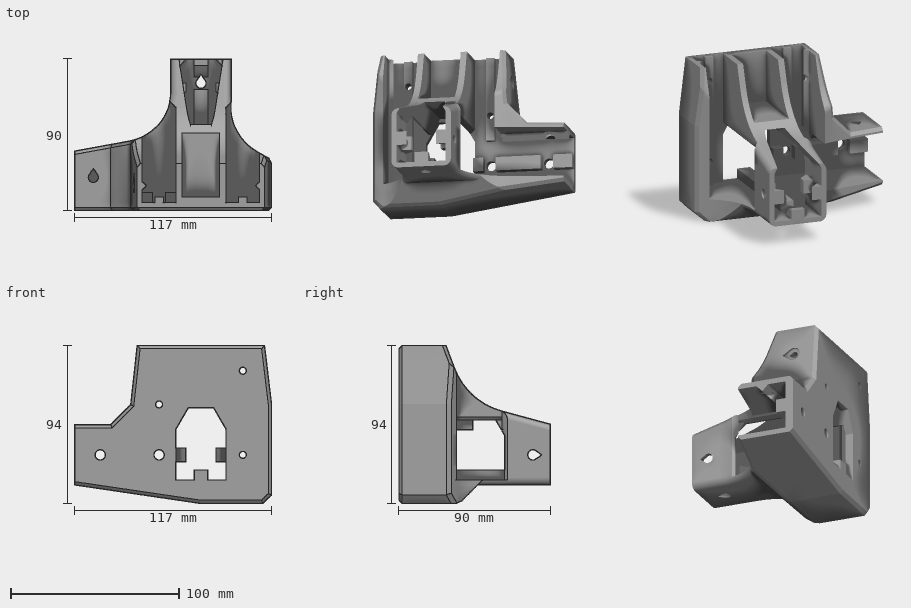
import cadquery as cq
import math

length = 117.0
depth = 90.0
height = 94.0
edge_chamfer = 2.0

front_wall = 4.8
bore = 29.7
floor_z = 14.0
bore_axis_z = floor_z + bore / 2
ceiling_z = floor_z + bore
side_arm_top = 46.9

arm_x = 75.0
arm_width = 36.0
arm_left = arm_x - arm_width / 2
arm_right = arm_x + arm_width / 2
arm_bottom = 11.1
arm_end_z = 47.2
arm_edge_radius = 4.1
bore_left = arm_x - bore / 2
bore_right = arm_x + bore / 2
gable_angle = 60.0
gable_eave_z = 44.1
window_gable_rise = 12.8
inner_gable_rise = 14.9

side_corner = (40.6, 60.5)
side_blend_radius = 41.0
left_plan_corner = (arm_left, 45.9)
right_plan_corner = (arm_right, 43.8)
plan_blend_radius = 29.8

channel_width = 20.0
channel_left_wall = bore_left - channel_width
channel_right_wall = bore_right + channel_width
channel_back = 61.2
channel_corner_y = 64.5

passage_back = 62.7
passage_roof = 49.5
passage_slope_base = 40.5
passage_edge_chamfer = 2.0

pocket_rib = 3.7
pocket_front = 8.2
pocket_floor = 62.5

key_depth = 6.0
key_width = 8.2
key_gap = 7.6
floor_key_ramp = 6.7
wall_key_start = 64.8
wall_key_ramp = 6.0
small_key_depth = 3.4
small_key_width = 5.0

side_arm_ridge_y = 19.8
side_arm_ridge_height = 3.7
channel_ridge_y = 14.9
channel_ridge_height = 2.5

screw_diameter = 4.0
large_screw_diameter = 6.0
screw_head_diameter = 8.2
tear_half_angle = 35.0
side_arm_hole_x = 15.2
left_key_x = bore_left - channel_width / 2
right_key_x = bore_right + channel_width / 2
left_channel_hole_z = 58.9
right_channel_hole_zs = (bore_axis_z, 78.9)
side_arm_roof_hole_x = 11.1
arm_floor_hole_y = 75.7
arm_wall_hole_y = 79.6
left_wall_hole_z = 76.8
left_wall_screw_seat_x = 37.1

overshoot = 1.2


def box(x0, x1, y0, y1, z0, z1):
    """Axis-aligned box between two opposite corners."""
    return cq.Workplane("XY").box(x1 - x0, y1 - y0, z1 - z0, centered=False).translate((x0, y0, z0))


def along_x(points, x0, x1):
    """Extrude a (y, z) outline from x0 to x1."""
    return cq.Workplane("YZ", origin=(x0, 0, 0)).polyline(points).close().extrude(x1 - x0)


def along_y(points, y0, y1):
    """Extrude an (x, z) outline from y0 to y1."""
    return cq.Workplane("XZ", origin=(0, y0, 0)).polyline(points).close().extrude(y0 - y1)


def along_z(points, z0, z1):
    """Extrude an (x, y) outline from z0 to z1."""
    return cq.Workplane("XY", origin=(0, 0, z0)).polyline(points).close().extrude(z1 - z0)


def edges_near(solid, points):
    """Select the edge closest to each of the given points."""
    nearest = [solid.edges(cq.selectors.NearestToPointSelector(point)).val() for point in points]
    return solid.newObject(nearest)


def mirrored(solid):
    """Mirror image about the middle plane of the rear arm."""
    return solid.mirror("YZ", (arm_x, 0, 0))



def front_block():
    """Plate outline run through the whole depth, front edges chamfered except at the arm's end."""
    outline = [
        (0, 11.0), (74.8, 0), (111.7, 0), (length, 5.1), (length, 59.0), (112.8, height),
        (37.1, height), (33.2, 58.7), (21.4, side_arm_top), (0, side_arm_top),
    ]
    block = along_y(outline, 0, depth)
    midpoints = [
        ((x0 + x1) / 2, 0, (z0 + z1) / 2)
        for (x0, z0), (x1, z1) in zip(outline, outline[1:])
    ]
    return edges_near(block, midpoints).chamfer(edge_chamfer)


def side_envelope():
    """Profile across X: tall front, concave blend down to the rear arm."""
    outline = [
        (0, 0), (35.7, 0), (35.7 + arm_bottom, arm_bottom), (depth, arm_bottom), (depth, arm_end_z),
        side_corner, (28.0, height), (0, height),
    ]
    solid = along_x(outline, 0, length)
    return edges_near(solid, [(length / 2, *side_corner)]).fillet(side_blend_radius)


def plan_envelope():
    """Plan: wide front, concave blends on both sides into the rear arm."""
    outline = [
        (0, 0), (length, 0), (length, 30.2), right_plan_corner, (arm_right, depth),
        (arm_left, depth), left_plan_corner, (0, 35.5),
    ]
    solid = along_z(outline, 0, height)
    corners = [(*left_plan_corner, height / 2), (*right_plan_corner, height / 2)]
    return edges_near(solid, corners).fillet(plan_blend_radius)


def outer_body():
    """Intersect the three outlines, chamfer the back edges and round the rear arm's long edges."""
    lower_left_edge = (15.6, 38.3, 8.7)
    solid = front_block().intersect(plan_envelope())
    solid = edges_near(solid, [lower_left_edge]).chamfer(edge_chamfer)
    solid = solid.intersect(side_envelope())

    left_back_edges = [(10.5, 37.4, side_arm_top), (27.0, 40.4, 52.5), (33.6, 41.7, 61.8), (34.7, 36.0, 72.8)]
    right_back_edges = [(113.5, 29.8, 87.8), (115.7, 31.1, 70.0), (length, 30.4, 31.6), (114.4, 31.8, 2.6)]
    bottom_back_edges = [(52.6, 37.4, 3.2), (92.2, 34.5, 0)]
    for edge_group in (left_back_edges, right_back_edges, bottom_back_edges):
        solid = edges_near(solid, edge_group).chamfer(edge_chamfer)

    arm_mid_y = 79.6
    arm_mid_top = 49.7
    arm_edges = [(x, arm_mid_y, z) for x in (arm_left, arm_right) for z in (arm_bottom, arm_mid_top)]
    for edge in arm_edges:
        solid = edges_near(solid, [edge]).fillet(arm_edge_radius)
    return solid



def gabled_bore(y0, y1, rise):
    """Square bore along Y with a flat-topped gable above it."""
    run = rise / math.tan(math.radians(gable_angle))
    outline = [
        (bore_left, floor_z), (bore_right, floor_z), (bore_right, gable_eave_z),
        (bore_right - run, gable_eave_z + rise), (bore_left + run, gable_eave_z + rise),
        (bore_left, gable_eave_z),
    ]
    return along_y(outline, y0, y1)


def rear_bore():
    window = gabled_bore(-overshoot, front_wall, window_gable_rise)
    return window.union(gabled_bore(front_wall, depth + overshoot, inner_gable_rise))


def side_arm_bore():
    return box(-overshoot, bore_left, front_wall, channel_back, floor_z, ceiling_z)


def left_channel():
    """Upright channel, open at the top and at the back."""
    outline = [
        (channel_left_wall, front_wall), (bore_left, front_wall), (bore_left, channel_back),
        (arm_left, channel_corner_y), (channel_left_wall, channel_corner_y),
    ]
    return along_z(outline, floor_z, height + overshoot)


def cross_passage():
    slope_run = (passage_roof - passage_slope_base) / math.tan(math.radians(gable_angle))
    outline = [
        (front_wall, floor_z), (passage_back, floor_z), (passage_back, passage_slope_base),
        (passage_back - slope_run, passage_roof), (front_wall, passage_roof),
    ]
    return along_x(outline, channel_left_wall, channel_right_wall)


def passage_edge():
    """Bevel on the lower left edge of the middle block."""
    outline = [
        (bore_left, passage_roof),
        (bore_left + passage_edge_chamfer, passage_roof),
        (bore_left, passage_roof + passage_edge_chamfer),
    ]
    return along_y(outline, front_wall, channel_back)


def top_pocket():
    return box(
        bore_left + pocket_rib, bore_right - pocket_rib, pocket_front, depth, pocket_floor, height + overshoot
    )



def side_arm_key():
    """Key on the front wall, interrupted around the two large screw holes."""
    z0 = bore_axis_z - key_width / 2
    key = box(0, bore_left, front_wall, front_wall + key_depth, z0, z0 + key_width)
    for x in (side_arm_hole_x, left_key_x):
        key = key.cut(box(x - key_gap / 2, x + key_gap / 2, 0, depth, 0, height))
    return key


def arm_floor_key():
    """Key on the rear bore's floor, interrupted at the floor hole and ramped behind it."""
    top = floor_z + key_depth
    gap_front = arm_floor_hole_y - key_gap / 2
    gap_back = arm_floor_hole_y + key_gap / 2
    ramp_end = gap_back + floor_key_ramp
    front_part = [(0, floor_z), (gap_front, floor_z), (gap_front, top), (0, top)]
    rear_part = [(gap_back, floor_z), (depth, floor_z), (depth, top), (ramp_end, top)]
    x0 = arm_x - key_width / 2
    return along_x(front_part, x0, x0 + key_width).union(along_x(rear_part, x0, x0 + key_width))


def arm_wall_key():
    """Key on the left wall of the rear bore, ramped at the front of both of its parts."""
    inner = bore_left + key_depth
    gap_front = arm_wall_hole_y - key_gap / 2
    gap_back = arm_wall_hole_y + key_gap / 2
    front_part = [
        (bore_left, gap_front), (bore_left, wall_key_start),
        (inner, wall_key_start + wall_key_ramp), (inner, gap_front),
    ]
    rear_part = [(bore_left, gap_back), (inner, depth), (bore_left, depth)]
    z0 = bore_axis_z - key_width / 2
    return along_z(front_part, z0, z0 + key_width).union(along_z(rear_part, z0, z0 + key_width))


def channel_key(x, z0):
    """Narrow key on the front wall of an upright channel."""
    half = small_key_width / 2
    return box(x - half, x + half, front_wall, front_wall + small_key_depth, z0, height)


def side_arm_ridge():
    rise = side_arm_ridge_height
    y = side_arm_ridge_y
    outline = [(y - rise, ceiling_z), (y + rise, ceiling_z), (y, ceiling_z - rise)]
    return along_x(outline, 0, channel_left_wall)


def channel_ridge(wall_x, inward, z0):
    """V ridge up a channel's outer wall; inward is the sign of X pointing into the channel."""
    rise = channel_ridge_height
    y = channel_ridge_y
    return along_z([(wall_x, y - rise), (wall_x, y + rise), (wall_x + inward * rise, y)], z0, height)



def front_hole(x, z, diameter):
    """Round hole through the front wall and any key behind it."""
    hole_depth = front_wall + key_depth
    return cq.Workplane("XZ", origin=(x, 0, z)).circle(diameter / 2).extrude(-hole_depth)


def teardrop(plane, origin, diameter, hole_depth, tip):
    """Teardrop hole; tip is the local direction (unit vector) of its point."""
    radius = diameter / 2
    angle = math.radians(tear_half_angle)
    along = radius * math.sin(angle)
    across = radius * math.cos(angle)
    tip_reach = radius / math.sin(angle)
    u, v = tip
    left = (along * u - across * v, along * v + across * u)
    right = (along * u + across * v, along * v - across * u)
    return (
        cq.Workplane(plane, origin=origin)
        .moveTo(tip_reach * u, tip_reach * v)
        .lineTo(*left)
        .threePointArc((-radius * u, -radius * v), right)
        .close()
        .extrude(hole_depth)
    )


def screw_holes():
    arm_roof_hole = (side_arm_roof_hole_x, side_arm_ridge_y, bore_axis_z)
    left_wall_hole = (0, channel_ridge_y, left_wall_hole_z)
    return [
        front_hole(side_arm_hole_x, bore_axis_z, large_screw_diameter),
        front_hole(left_key_x, bore_axis_z, large_screw_diameter),
        front_hole(left_key_x, left_channel_hole_z, screw_diameter),
        *[front_hole(right_key_x, z, screw_diameter) for z in right_channel_hole_zs],
        teardrop("XY", arm_roof_hole, large_screw_diameter, bore, (0, 1)),
        teardrop("XY", (arm_x, arm_floor_hole_y, 0), large_screw_diameter, floor_z + key_depth, (0, 1)),
        teardrop("YZ", (0, arm_wall_hole_y, bore_axis_z), large_screw_diameter, length, (1, 0)),
        teardrop("YZ", left_wall_hole, screw_diameter, left_key_x, (1, 0)),
        teardrop("YZ", left_wall_hole, screw_head_diameter, left_wall_screw_seat_x, (1, 0)),
    ]



body = outer_body()
cavities = [
    rear_bore(), side_arm_bore(), left_channel(), mirrored(left_channel()), cross_passage(),
    passage_edge(), mirrored(passage_edge()), top_pocket(),
]
for cavity in cavities:
    body = body.cut(cavity)

additions = [
    side_arm_key(), arm_floor_key(), arm_wall_key(), mirrored(arm_wall_key()),
    channel_key(left_key_x, ceiling_z), channel_key(right_key_x, floor_z), side_arm_ridge(),
    channel_ridge(channel_left_wall, 1, ceiling_z), channel_ridge(channel_right_wall, -1, floor_z),
]
for addition in additions:
    body = body.union(addition)

for hole in screw_holes():
    body = body.cut(hole)

result = body